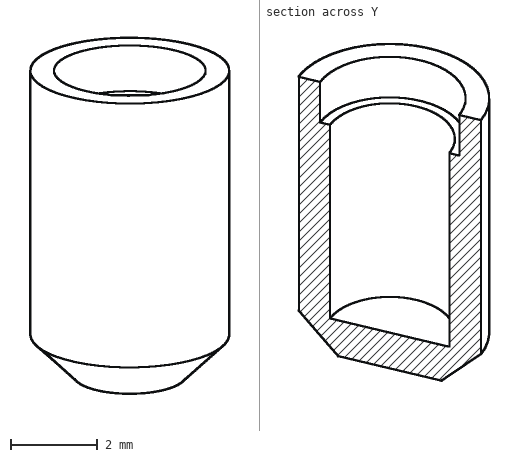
import cadquery as cq

length = 7.45
outer_diameter = 4.6
taper_height = 1.0

counterbore_diameter = 3.5
counterbore_depth = 1.12
bore_diameter = 3.0
bore_depth = length - taper_height


def tapered_body():
    body = cq.Workplane("XY").circle(outer_diameter / 2).extrude(length)
    return body.faces("<Z").chamfer(taper_height)


def add_stepped_bore(body):
    return body.faces(">Z").workplane().cboreHole(
        bore_diameter, counterbore_diameter, counterbore_depth, bore_depth
    )


result = add_stepped_bore(tapered_body())